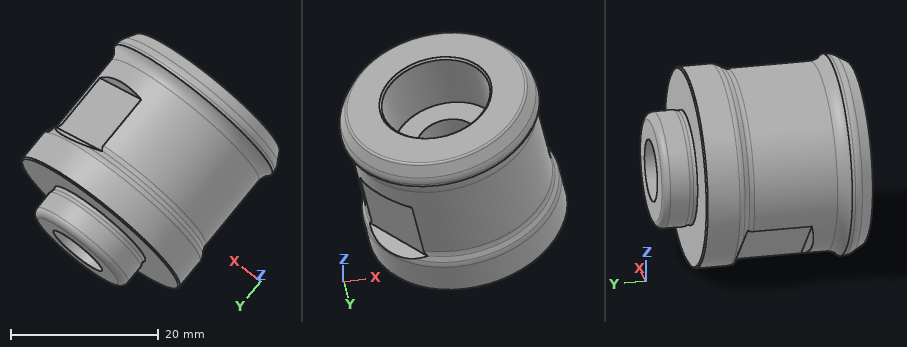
import cadquery as cq
import math

TOTAL_LENGTH = 28.2
SHOULDER_Y = 23.4
COLLAR_RADIUS = 27.6 / 2
BODY_RADIUS = 25.98 / 2

SLOPE = math.radians(30)

FACE_ROUNDING = 0.4
BEAD_ROUNDING = 2.0
BEAD_LAND_START_Y = 2.74
BEAD_LAND_END_Y = 3.17
BODY_START_Y = 5.07

BODY_END_Y = 16.58
COLLAR_FILLET = 1.5
COLLAR_CHAMFER = 0.2

SPIGOT_RADIUS = 16.0 / 2
SPIGOT_ROUNDING = 1.0
UNDERCUT_TAPER = math.radians(15)
UNDERCUT_ARC_RADIUS = 0.8
UNDERCUT_TAPER_START_Y = 23.96
UNDERCUT_TAPER_END_Y = 24.5

BORE_DIAMETER = 15.0
BORE_DEPTH = 8.5
BORE_CHAMFER = 0.28
THROUGH_HOLE_DIAMETER = 8.5

ACROSS_FLATS = 23.9
FLAT_START_Y = 8.4
FLAT_END_Y = 17.4
FLAT_DIRECTION = 45
CUTTER_HEIGHT = 4.0
CUTTER_WIDTH = 30.0


def arc_midpoint(center, radius, start_angle, end_angle):
    """Point halfway along an arc; angles in radians from the radial direction."""
    angle = (start_angle + end_angle) / 2
    return (center[0] + radius * math.cos(angle), center[1] + radius * math.sin(angle))


def add_front_bead(outline):
    """Extend the outline from the axis over the front face and bead to the start of the body."""
    rounding_drop = BEAD_ROUNDING * (1 - math.cos(SLOPE))
    bead_cone_end = (COLLAR_RADIUS - rounding_drop, BEAD_LAND_START_Y - BEAD_ROUNDING * math.sin(SLOPE))
    face_edge_y = FACE_ROUNDING * (1 - math.sin(SLOPE))
    bead_cone_start = (bead_cone_end[0] - (bead_cone_end[1] - face_edge_y) * math.tan(SLOPE), face_edge_y)
    face_center = (bead_cone_start[0] - FACE_ROUNDING * math.cos(SLOPE), FACE_ROUNDING)
    face_mid = arc_midpoint(face_center, FACE_ROUNDING, -math.pi / 2, -SLOPE)
    bead_center = (COLLAR_RADIUS - BEAD_ROUNDING, BEAD_LAND_START_Y)
    bead_mid = arc_midpoint(bead_center, BEAD_ROUNDING, -SLOPE, 0)

    sweep_length = BODY_START_Y - BEAD_LAND_END_Y
    sweep_rise = COLLAR_RADIUS - BODY_RADIUS
    sweep_radius = (sweep_length**2 + sweep_rise**2) / (2 * sweep_rise)
    sweep_angle = math.asin(sweep_length / sweep_radius)
    sweep_center = (BODY_RADIUS + sweep_radius, BODY_START_Y)
    sweep_mid = arc_midpoint(sweep_center, sweep_radius, math.pi + sweep_angle, math.pi)

    return (
        outline.lineTo(face_center[0], 0)
        .threePointArc(face_mid, bead_cone_start)
        .lineTo(*bead_cone_end)
        .threePointArc(bead_mid, (COLLAR_RADIUS, BEAD_LAND_START_Y))
        .lineTo(COLLAR_RADIUS, BEAD_LAND_END_Y)
        .threePointArc(sweep_mid, (BODY_RADIUS, BODY_START_Y))
    )


def add_body_and_collar(outline):
    """Extend the outline along the body and up over the rear collar to the shoulder."""
    fillet_drop = COLLAR_FILLET * (1 - math.cos(SLOPE))
    fillet_length = COLLAR_FILLET * math.sin(SLOPE)
    cone_length = (COLLAR_RADIUS - BODY_RADIUS - 2 * fillet_drop) / math.tan(SLOPE)
    cone_start = (BODY_RADIUS + fillet_drop, BODY_END_Y + fillet_length)
    cone_end = (COLLAR_RADIUS - fillet_drop, cone_start[1] + cone_length)
    collar_start_y = cone_end[1] + fillet_length
    concave_center = (BODY_RADIUS + COLLAR_FILLET, BODY_END_Y)
    concave_mid = arc_midpoint(concave_center, COLLAR_FILLET, math.pi, math.pi - SLOPE)
    convex_center = (COLLAR_RADIUS - COLLAR_FILLET, collar_start_y)
    convex_mid = arc_midpoint(convex_center, COLLAR_FILLET, -SLOPE, 0)

    return (
        outline.lineTo(BODY_RADIUS, BODY_END_Y)
        .threePointArc(concave_mid, cone_start)
        .lineTo(*cone_end)
        .threePointArc(convex_mid, (COLLAR_RADIUS, collar_start_y))
        .lineTo(COLLAR_RADIUS, SHOULDER_Y - COLLAR_CHAMFER)
        .lineTo(COLLAR_RADIUS - COLLAR_CHAMFER, SHOULDER_Y)
    )


def add_spigot(outline):
    """Extend the outline down the shoulder, through the undercut and over the spigot to the axis."""
    taper_length = UNDERCUT_TAPER_END_Y - UNDERCUT_TAPER_START_Y
    taper_start = (SPIGOT_RADIUS - taper_length * math.tan(UNDERCUT_TAPER), UNDERCUT_TAPER_START_Y)
    undercut_center = (
        taper_start[0] + UNDERCUT_ARC_RADIUS * math.cos(UNDERCUT_TAPER),
        taper_start[1] - UNDERCUT_ARC_RADIUS * math.sin(UNDERCUT_TAPER),
    )
    arc_end_angle = math.asin((undercut_center[1] - SHOULDER_Y) / UNDERCUT_ARC_RADIUS)
    undercut_start = (undercut_center[0] - UNDERCUT_ARC_RADIUS * math.cos(arc_end_angle), SHOULDER_Y)
    undercut_mid = arc_midpoint(
        undercut_center, UNDERCUT_ARC_RADIUS, math.pi + arc_end_angle, math.pi - UNDERCUT_TAPER
    )

    spigot_center = (SPIGOT_RADIUS - SPIGOT_ROUNDING, TOTAL_LENGTH - SPIGOT_ROUNDING)
    spigot_mid = arc_midpoint(spigot_center, SPIGOT_ROUNDING, 0, math.pi / 2)

    return (
        outline.lineTo(*undercut_start)
        .threePointArc(undercut_mid, taper_start)
        .lineTo(SPIGOT_RADIUS, UNDERCUT_TAPER_END_Y)
        .lineTo(SPIGOT_RADIUS, spigot_center[1])
        .threePointArc(spigot_mid, (spigot_center[0], TOTAL_LENGTH))
        .lineTo(0, TOTAL_LENGTH)
    )


def make_turned_body():
    """Revolve the outer outline, drawn as (radius, Y), about the Y axis."""
    outline = cq.Workplane("XY").moveTo(0, 0)
    outline = add_front_bead(outline)
    outline = add_body_and_collar(outline)
    outline = add_spigot(outline)
    return outline.close().revolve(360, (0, 0), (0, 1))


def make_bore():
    """Revolve the stepped bore: chamfered mouth, wide bore, then the through hole."""
    bore_radius = BORE_DIAMETER / 2
    hole_radius = THROUGH_HOLE_DIAMETER / 2
    return (
        cq.Workplane("XY")
        .moveTo(0, 0)
        .lineTo(bore_radius + BORE_CHAMFER, 0)
        .lineTo(bore_radius, BORE_CHAMFER)
        .lineTo(bore_radius, BORE_DEPTH)
        .lineTo(hole_radius, BORE_DEPTH)
        .lineTo(hole_radius, TOTAL_LENGTH)
        .lineTo(0, TOTAL_LENGTH)
        .close()
        .revolve(360, (0, 0), (0, 1))
    )


def make_flat_cutter(direction):
    """Trapezoidal bar that cuts one flat, facing the given angle in degrees from +X toward +Z."""
    bottom = ACROSS_FLATS / 2
    top = bottom + CUTTER_HEIGHT
    flare = CUTTER_HEIGHT * math.tan(SLOPE)
    cutter = (
        cq.Workplane("XY")
        .moveTo(bottom, FLAT_START_Y)
        .lineTo(top, FLAT_START_Y - flare)
        .lineTo(top, FLAT_END_Y + flare)
        .lineTo(bottom, FLAT_END_Y)
        .close()
        .extrude(CUTTER_WIDTH / 2, both=True)
    )
    return cutter.rotate((0, 0, 0), (0, 1, 0), -direction)


result = make_turned_body().cut(make_bore())
for direction in (FLAT_DIRECTION, FLAT_DIRECTION + 180):
    result = result.cut(make_flat_cutter(direction))